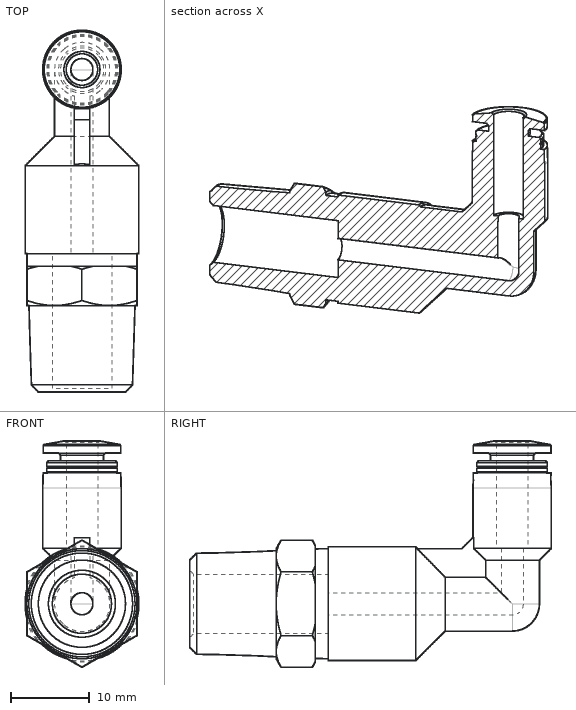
import cadquery as cq
import math


elbow_radius = 7.0 / 2
passage_radius = 2.8 / 2

body_radius = 14.5 / 2
body_cone_start = 8.5
body_start = body_cone_start + (body_radius - elbow_radius)
body_end = 23.4
neck_radius = 14.0 / 2
hex_across_flats = 14.0
hex_half_sector = 360 / 6 / 2
hex_start = 25.0
hex_end = 30.0
hex_front_radius = 7.0
hex_back_radius = 7.4
hex_bevel_angle = 30.0
thread_large_radius = 6.76
thread_taper = 1 / 16
thread_end = 41.0
thread_chamfer = 0.9
bore_radius = 7.52 / 2
bore_chamfer = 0.5
bore_bottom = body_end

socket_radius = 10.0 / 2
socket_base = 7.05
socket_cone_base = socket_base - (socket_radius - elbow_radius)
socket_taper_start = 14.75
socket_top = 16.65
socket_top_radius = 9.9 / 2
ring_radius = 9.0 / 2
ring_top = 18.2
ring_chamfer = 0.25
ring_foot_chamfer = 0.1
ring_groove_bottom = 17.2
ring_groove_width = 0.3
ring_groove_depth = 0.15
stem_radius = 5.5 / 2
stem_flare = 0.25
button_radius = 9.9 / 2
button_bottom = 19.15
button_rim = 20.25
button_edge_chamfer = 0.15
button_top = 20.7
tube_hole_radius = 4.0 / 2
tube_hole_mouth_radius = 4.6 / 2
tube_hole_mouth_depth = 0.2
tube_hole_bottom = socket_base

rib_width = 2.0
rib_top = 7.0
rib_slope_start = 6.4


def turned_about_y(profile):
    """Revolve (radius, distance along -Y) points about the Y axis."""
    points = [(radius, -distance) for radius, distance in profile]
    return cq.Workplane("XY").polyline(points).close().revolve(360, (0, 0), (0, 1))


def turned_about_z(profile):
    """Revolve (radius, height) points about the Z axis."""
    return cq.Workplane("XZ").polyline(profile).close().revolve(360, (0, 0), (0, 1))


def make_swivel_body():
    return turned_about_y([
        (0, 0),
        (elbow_radius, 0),
        (elbow_radius, body_cone_start),
        (body_radius, body_start),
        (body_radius, body_end),
        (neck_radius, body_end),
        (neck_radius, hex_start),
        (0, hex_start),
    ])


def make_hexagon():
    corner_radius = hex_across_flats / 2 / math.cos(math.radians(hex_half_sector))
    bevel_slope = math.tan(math.radians(hex_bevel_angle))
    prism = (
        cq.Workplane("XZ", origin=(0, -hex_start, 0))
        .polygon(6, 2 * corner_radius)
        .extrude(hex_end - hex_start)
        .rotate((0, 0, 0), (0, 1, 0), hex_half_sector)
    )
    bevels = turned_about_y([
        (0, hex_start),
        (hex_back_radius, hex_start),
        (corner_radius, hex_start + (corner_radius - hex_back_radius) * bevel_slope),
        (corner_radius, hex_end - (corner_radius - hex_front_radius) * bevel_slope),
        (hex_front_radius, hex_end),
        (0, hex_end),
    ])
    return prism.intersect(bevels)


def make_thread():
    chamfer_start = thread_end - thread_chamfer
    small_radius = thread_large_radius - (chamfer_start - hex_end) * thread_taper / 2
    return turned_about_y([
        (0, hex_end),
        (thread_large_radius, hex_end),
        (small_radius, chamfer_start),
        (small_radius - thread_chamfer, thread_end),
        (0, thread_end),
    ])


def make_socket():
    groove_radius = ring_radius - ring_groove_depth
    groove_top = ring_groove_bottom + ring_groove_width
    return turned_about_z([
        (0, 0),
        (elbow_radius, 0),
        (elbow_radius, socket_cone_base),
        (socket_radius, socket_base),
        (socket_radius, socket_taper_start),
        (socket_top_radius, socket_top),
        (ring_radius - ring_foot_chamfer, socket_top),
        (ring_radius, socket_top + ring_foot_chamfer),
        (ring_radius, ring_groove_bottom),
        (groove_radius, (ring_groove_bottom + groove_top) / 2),
        (ring_radius, groove_top),
        (ring_radius, ring_top - ring_chamfer),
        (ring_radius - ring_chamfer, ring_top),
        (stem_radius, ring_top),
        (stem_radius, button_bottom - stem_flare),
        (stem_radius + stem_flare, button_bottom),
        (button_radius, button_bottom),
        (button_radius, button_rim - button_edge_chamfer),
        (button_radius - button_edge_chamfer, button_rim),
        (tube_hole_mouth_radius, button_top),
        (0, button_top),
    ])


def make_rib():
    slope_rise = rib_slope_start - socket_radius
    return (
        cq.Workplane("YZ")
        .polyline([
            (0, 0),
            (-body_start, 0),
            (-body_start, rib_top),
            (-rib_slope_start, rib_top),
            (-socket_radius, rib_top + slope_rise),
            (0, rib_top + slope_rise),
        ])
        .close()
        .extrude(rib_width / 2, both=True)
    )


def make_thread_bore():
    return turned_about_y([
        (0, 0),
        (passage_radius, 0),
        (passage_radius, bore_bottom),
        (bore_radius, bore_bottom),
        (bore_radius, thread_end - bore_chamfer),
        (bore_radius + bore_chamfer, thread_end),
        (0, thread_end),
    ])


def make_socket_bore():
    return turned_about_z([
        (0, 0),
        (passage_radius, 0),
        (passage_radius, tube_hole_bottom),
        (tube_hole_radius, tube_hole_bottom),
        (tube_hole_radius, button_top - tube_hole_mouth_depth),
        (tube_hole_mouth_radius, button_top),
        (0, button_top),
    ])


outside = (
    make_swivel_body()
    .union(cq.Workplane("XY").sphere(elbow_radius))
    .union(make_socket())
    .union(make_rib())
    .union(make_hexagon())
    .union(make_thread())
)
passages = (
    make_thread_bore()
    .union(cq.Workplane("XY").sphere(passage_radius))
    .union(make_socket_bore())
)
result = outside.cut(passages)